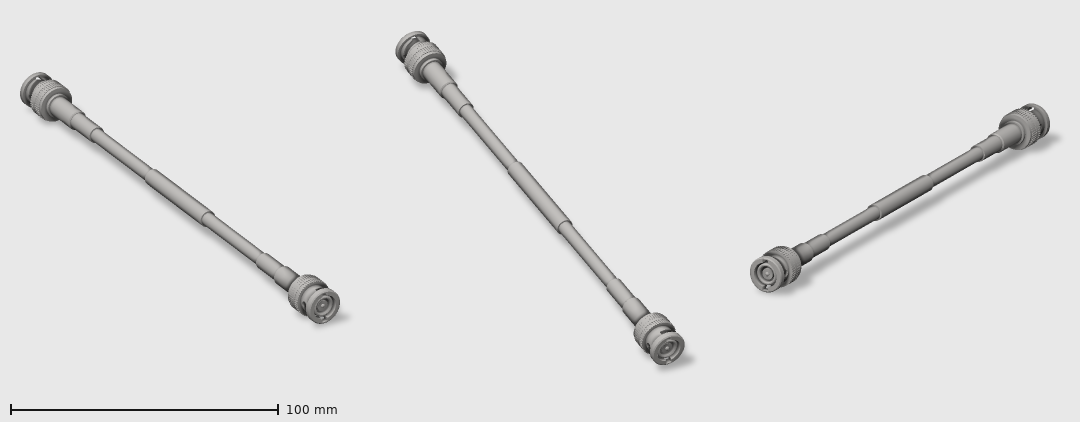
import cadquery as cq

LENGTH = 201.8

FLANGE_END = 2.5
NECK_END = 8.0
KNURL_END = 14.0
GRIP_END = 15.1
COLLAR_END = 16.3
FERRULE_END = 29.9

KNURL_RADIUS = 7.3
FLANGE_RADIUS = 6.9
NECK_RADIUS = 5.7
COLLAR_RADIUS = 4.6
FERRULE_RADIUS = 3.8
BORE_RADIUS = 4.8
EDGE_CHAMFER = 0.5

BORE_DEPTH = NECK_END
SHIELD_RADIUS = 4.2
SHIELD_BORE_RADIUS = 3.0
SHIELD_FRONT = 0.8
INSULATOR_RADIUS = 2.2
INSULATOR_FRONT = 1.6
PIN_RADIUS = 0.8
PIN_FRONT = 0.8

RIB_COUNT = 48
GROOVE_WIDTH = 0.5
GROOVE_DEPTH = 0.3
RING_START = 10.0
RING_END = 11.0

SLOT_COUNT = 2
SLOT_WIDTH = 2.2
SLOT_RADIUS = 6.0
SLOT_START = 4.2
SLOT_RISE = 1.5
SLOT_TURN = 90.0
SEAT_DIAMETER = 2.8
SLOT_INNER_RADIUS = (BORE_RADIUS + SHIELD_RADIUS) / 2

CABLE_RADIUS = 2.6
SLEEVE_RADIUS = 3.2
BOOT_LENGTH = 13.1
LABEL_LENGTH = 38.8


def cylinder(radius, start, end):
    """Cylinder around the local Z axis between two stations."""
    return cq.Workplane("XY", origin=(0, 0, start)).circle(radius).extrude(end - start)


def tube(outer, inner, start, end):
    """Hollow cylinder around the local Z axis between two stations."""
    return cylinder(outer, start, end).cut(cylinder(inner, start, end))


def plug_shell():
    """Stepped coupling nut, collar and crimp ferrule, bored from the mating face."""
    ferrule = cylinder(FERRULE_RADIUS, COLLAR_END, FERRULE_END).faces(">Z").chamfer(EDGE_CHAMFER)
    shell = cylinder(FLANGE_RADIUS, 0, FLANGE_END).faces("<Z").chamfer(EDGE_CHAMFER)
    shell = shell.union(cylinder(NECK_RADIUS, FLANGE_END, NECK_END))
    shell = shell.union(cylinder(KNURL_RADIUS, NECK_END, KNURL_END))
    shell = shell.union(cylinder(FLANGE_RADIUS, KNURL_END, GRIP_END))
    shell = shell.union(cylinder(COLLAR_RADIUS, GRIP_END, COLLAR_END))
    shell = shell.union(ferrule)
    return shell.cut(cylinder(BORE_RADIUS, 0, BORE_DEPTH))


def knurl_grooves(start, end):
    """One band of axial grooves around the grip."""
    return (
        cq.Workplane("XY", origin=(0, 0, start))
        .polarArray(KNURL_RADIUS, 0, 360, RIB_COUNT)
        .rect(2 * GROOVE_DEPTH, GROOVE_WIDTH)
        .extrude(end - start)
    )


def bayonet_slot():
    """Entry slot at local +X, then a helical ramp ending in a round seat."""
    wall = SLOT_RADIUS - SLOT_INNER_RADIUS
    middle = SLOT_INNER_RADIUS + wall / 2
    entry_end = SLOT_START + SLOT_WIDTH / 2
    entry = cq.Workplane("XY").center(middle, 0).rect(wall, SLOT_WIDTH).extrude(entry_end)

    pitch = SLOT_RISE * 360 / SLOT_TURN
    path = cq.Wire.makeHelix(pitch, SLOT_RISE, middle)
    ramp = cq.Workplane("XZ").center(middle, 0).rect(wall, SLOT_WIDTH).sweep(path, isFrenet=True)
    ramp = ramp.translate((0, 0, SLOT_START))

    seat = (
        cq.Workplane("YZ", origin=(SLOT_INNER_RADIUS, 0, SLOT_START + SLOT_RISE))
        .circle(SEAT_DIAMETER / 2)
        .extrude(wall)
        .rotate((0, 0, 0), (0, 0, 1), SLOT_TURN)
    )
    return entry.union(ramp).union(seat)


def plug_contacts():
    """Shield tube, insulator and centre pin standing on the floor of the bore."""
    shield = tube(SHIELD_RADIUS, SHIELD_BORE_RADIUS, SHIELD_FRONT, BORE_DEPTH)
    shield = shield.faces("<Z").edges("%CIRCLE").chamfer(EDGE_CHAMFER)
    insulator = cylinder(INSULATOR_RADIUS, INSULATOR_FRONT, BORE_DEPTH)
    pin = cylinder(PIN_RADIUS, PIN_FRONT, BORE_DEPTH).faces("<Z").chamfer(EDGE_CHAMFER)
    return shield.union(insulator).union(pin)


def make_plug():
    """Complete plug along local Z, mating face at the origin."""
    plug = plug_shell()
    plug = plug.cut(knurl_grooves(NECK_END, RING_START)).cut(knurl_grooves(RING_END, KNURL_END))
    slot = bayonet_slot()
    for index in range(SLOT_COUNT):
        plug = plug.cut(slot.rotate((0, 0, 0), (0, 0, 1), index * 360 / SLOT_COUNT))
    return plug.union(plug_contacts())


def make_boot():
    """Strain-relief boot along local Z, butted against the ferrule."""
    return tube(SLEEVE_RADIUS, CABLE_RADIUS, FERRULE_END, FERRULE_END + BOOT_LENGTH)


def make_cable():
    """Cable running from one ferrule to the other."""
    return cylinder(CABLE_RADIUS, FERRULE_END, LENGTH - FERRULE_END)


def make_label_sleeve():
    """Label sleeve around the middle of the cable."""
    start = (LENGTH - LABEL_LENGTH) / 2
    return tube(SLEEVE_RADIUS, CABLE_RADIUS, start, start + LABEL_LENGTH)


def placed(body, end_x, direction):
    """Lay a body's local Z axis along +X or -X from end_x, with its local X axis up."""
    frame = cq.Plane(origin=(end_x, 0, 0), xDir=(0, 0, 1), normal=(direction, 0, 0))
    return body.solids().val().moved(cq.Location(frame))


LEFT_END = -LENGTH / 2
bodies = [placed(make_cable(), LEFT_END, 1), placed(make_label_sleeve(), LEFT_END, 1)]
for direction in (1, -1):
    bodies.append(placed(make_plug(), direction * LEFT_END, direction))
    bodies.append(placed(make_boot(), direction * LEFT_END, direction))

result = cq.Compound.makeCompound(bodies)